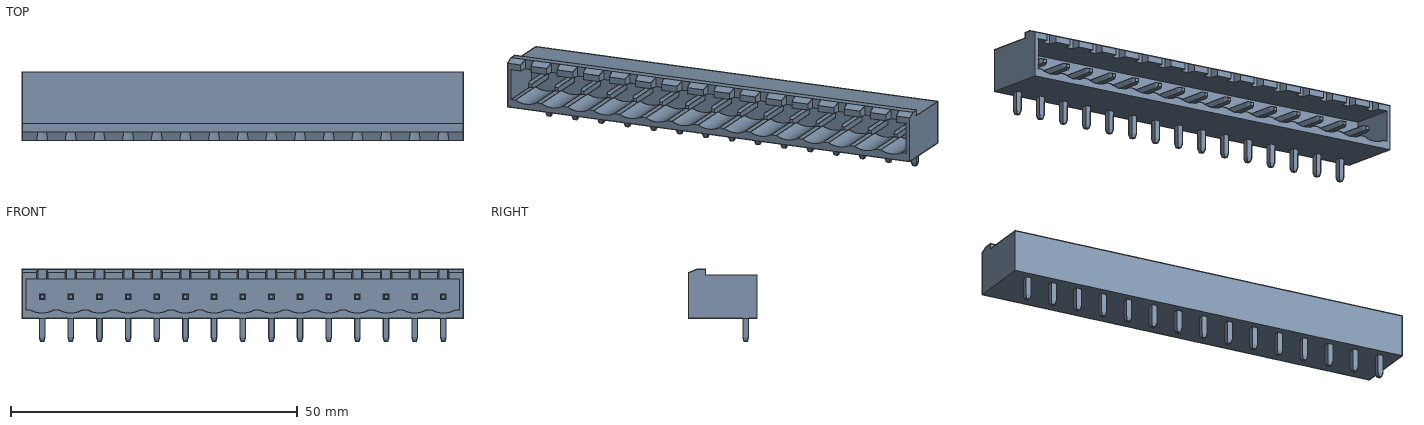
import cadquery as cq


pin_count = 15
pitch = 5.0
end_margin = 3.5

housing_length = (pin_count - 1) * pitch + 2 * end_margin
housing_depth = 12.0
roof_height = 7.6
lip_height = 8.6
lip_depth = 3.0
lip_front_height = 8.0
slope_depth = 1.5

end_wall = 0.7
cavity_depth = 8.5
cavity_floor = 1.45
cavity_ceiling = 6.9

groove_width = 4.0
groove_sag = 0.5

notch_back_width = 1.5
notch_front_width = 2.0

pin_size = 1.0
tip_size = 0.6
tip_length = 0.7
contact_height = 3.8
contact_setback = 1.9
tail_length = 4.0
tail_from_back = 2.0

pin_positions = [(i - (pin_count - 1) / 2) * pitch for i in range(pin_count)]


def make_housing():
    """Block with a raised lip along the front whose top slopes to the front face."""
    profile = [
        (0, 0),
        (housing_depth, 0),
        (housing_depth, roof_height),
        (lip_depth, roof_height),
        (lip_depth, lip_height),
        (slope_depth, lip_height),
        (0, lip_front_height),
    ]
    return cq.Workplane("YZ").polyline(profile).close().extrude(housing_length / 2, both=True)


def make_cavity():
    """Space inside the shroud, with one round groove in its floor per pin."""
    half_length = housing_length / 2 - end_wall
    half_groove = groove_width / 2
    outline = cq.Workplane("XZ").moveTo(-half_length, cavity_floor)
    for x in pin_positions:
        outline = outline.lineTo(x - half_groove, cavity_floor)
        outline = outline.threePointArc(
            (x, cavity_floor - groove_sag),
            (x + half_groove, cavity_floor),
        )
    outline = outline.lineTo(half_length, cavity_floor)
    outline = outline.lineTo(half_length, cavity_ceiling)
    outline = outline.lineTo(-half_length, cavity_ceiling)
    return outline.close().extrude(-cavity_depth)


def make_notch(x):
    """Cut through the sloped part of the lip, wider at the front, open to the cavity."""
    corners = [
        (x - notch_front_width / 2, 0),
        (x + notch_front_width / 2, 0),
        (x + notch_back_width / 2, slope_depth),
        (x - notch_back_width / 2, slope_depth),
    ]
    notch = cq.Workplane("XY").workplane(offset=cavity_ceiling).polyline(corners).close()
    return notch.extrude(lip_height - cavity_ceiling)


def make_leg(start, direction, length):
    """Straight square bar from start, ending in a tapered tip."""
    plane = cq.Plane(origin=start, xDir=(1, 0, 0), normal=direction)
    shaft_length = length - tip_length
    shaft = cq.Workplane(plane).rect(pin_size, pin_size).extrude(shaft_length)
    tip = (
        cq.Workplane(plane)
        .workplane(offset=shaft_length)
        .rect(pin_size, pin_size)
        .workplane(offset=tip_length)
        .rect(tip_size, tip_size)
        .loft(combine=True)
    )
    return shaft.union(tip)


def make_pin(x):
    """Right-angle pin: a contact toward the open front and a solder tail downward."""
    bend_y = housing_depth - tail_from_back
    bend = (x, bend_y, contact_height)
    contact = make_leg(bend, (0, -1, 0), bend_y - contact_setback)
    tail = make_leg(bend, (0, 0, -1), contact_height + tail_length)
    return contact.union(tail)


result = make_housing().cut(make_cavity())
for pin_x in pin_positions:
    result = result.cut(make_notch(pin_x))
for pin_x in pin_positions:
    result = result.union(make_pin(pin_x))